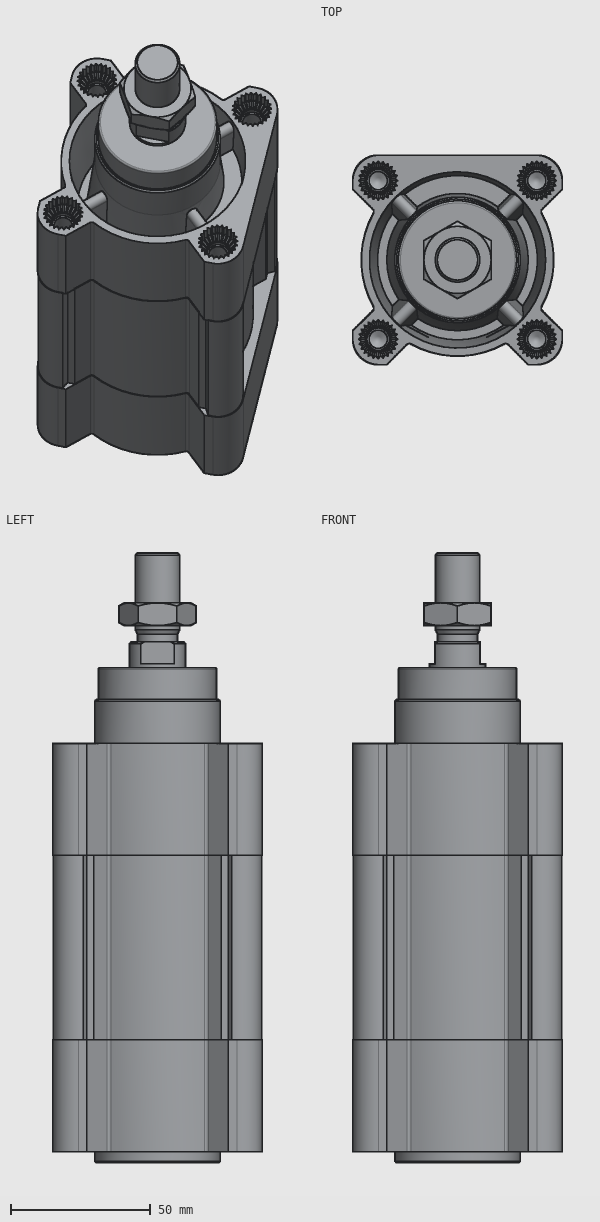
import cadquery as cq
import math

total_height = 218.0
foot_height = 4.0
body_top = 150.0
cap_height = 40.1
neck_top = 165.8
seal_top = 177.0
shoulder_top = 186.3
lower_cap_top = foot_height + cap_height
upper_cap_bottom = body_top - cap_height

cap_width = 75.0
screw_offset = 28.4
barrel_radius = 34.5
lobe_flat_end = 25.3
tube_arc_end = 26.5
tube_step_width = 34.7
tube_inset = 0.2
notch_fillet = 1.0
half_cap = cap_width / 2
lobe_radius = half_cap - screw_offset
diagonal_gap = half_cap - lobe_flat_end
tube_diagonal_gap = diagonal_gap - tube_inset * math.sqrt(2)
lobe_root = barrel_radius / 2

collar_diameter = 45.0
collar_chamfer = 0.7
seal_diameter = 42.3
seal_fillet = 0.7

pocket_depth = 30.5
shallow_pocket_depth = 14.2
pocket_diameter = 63.0
pocket_floor_diameter = 57.1
hub_floor_diameter = 50.5
rib_drop = 2.0
rib_radius = 2.2
rib_floor_half_width = 4.8

socket_teeth = 24
socket_diameter = 14.0
socket_tooth_root_diameter = 12.0
socket_depth = 4.8
socket_taper_depth = 2.2
screw_thread_diameter = 8.0
screw_thread_depth = 8.7
screw_core_diameter = 6.5
screw_core_depth = 17.5

rod_diameter = 20.0
rod_flat_width = 16.1
rod_flat_bottom = 178.5
thread_diameter = 16.0
thread_undercut_diameter = 14.5
undercut_top = 189.0
thread_lead_height = 1.5
rod_chamfer = 0.7
thread_chamfer = (thread_diameter - thread_undercut_diameter) / 2

nut_width = 24.0
nut_bottom = 192.1
nut_height = 8.0
nut_chamfer_angle = 30.0
nut_corner_diameter = nut_width / math.cos(math.radians(30))


def cylinder(diameter, bottom, top):
    return cq.Workplane("XY").workplane(offset=bottom).circle(diameter / 2).extrude(top - bottom)


def revolve_profile(points):
    """Turn a closed (radius, height) profile about the Z axis."""
    return cq.Workplane("XZ").polyline(points).close().revolve(360, (0, 0), (0, 1))


def extrude_lobe(outline, bottom, top, quarter_turns):
    lobe = outline.close().extrude(top - bottom)
    return lobe.rotate((0, 0, 0), (0, 0, 1), 90 * quarter_turns).translate((0, 0, bottom))


def lobe_arc_middle(radius):
    reach = screw_offset + radius / math.sqrt(2)
    return (reach, reach)


def cap_lobe(bottom, top, quarter_turns):
    """Screw lobe of an end cap, round outside and with straight diagonal sides."""
    outline = (
        cq.Workplane("XY")
        .moveTo(lobe_root, lobe_root - diagonal_gap)
        .lineTo(half_cap, lobe_flat_end)
        .lineTo(half_cap, screw_offset)
        .threePointArc(lobe_arc_middle(lobe_radius), (screw_offset, half_cap))
        .lineTo(lobe_flat_end, half_cap)
        .lineTo(lobe_root - diagonal_gap, lobe_root)
        .lineTo(0, 0)
    )
    return extrude_lobe(outline, bottom, top, quarter_turns)


def tube_lobe(bottom, top, quarter_turns):
    """Screw lobe of the tube, like that of a cap but stepped back beside the round."""
    arc_radius = lobe_radius - tube_inset
    arc_reach = screw_offset + math.sqrt(arc_radius**2 - (screw_offset - tube_arc_end) ** 2)
    step_corner = tube_step_width - tube_diagonal_gap
    outline = (
        cq.Workplane("XY")
        .moveTo(lobe_root, lobe_root - tube_diagonal_gap)
        .lineTo(tube_step_width, step_corner)
        .lineTo(tube_step_width, lobe_flat_end)
        .lineTo(arc_reach, tube_arc_end)
        .threePointArc(lobe_arc_middle(arc_radius), (tube_arc_end, arc_reach))
        .lineTo(lobe_flat_end, tube_step_width)
        .lineTo(step_corner, tube_step_width)
        .lineTo(lobe_root - tube_diagonal_gap, lobe_root)
        .lineTo(0, 0)
    )
    return extrude_lobe(outline, bottom, top, quarter_turns)


def lobed_section(lobe, radius, gap, bottom, top):
    """Barrel with four lobes; the inner corners of the notches are filleted."""
    section = cylinder(2 * radius, bottom, top)
    for quarter_turns in range(4):
        section = section.union(lobe(bottom, top, quarter_turns))
    near = (math.sqrt(2 * radius**2 - gap**2) - gap) / 2
    far = near + gap
    middle = (bottom + top) / 2
    for x, y in [(near, far), (far, near)]:
        for side_x in (-1, 1):
            for side_y in (-1, 1):
                corner = cq.selectors.NearestToPointSelector((side_x * x, side_y * y, middle))
                section = section.edges("|Z").edges(corner).fillet(notch_fillet)
    return section


def end_cap(bottom, top):
    """Lobed end cap whose +Y side is filled out to a flat face."""
    cap = lobed_section(cap_lobe, barrel_radius, diagonal_gap, bottom, top)
    flat_side = (
        cq.Workplane("XY")
        .workplane(offset=bottom)
        .moveTo(0, 0)
        .lineTo(screw_offset, screw_offset)
        .lineTo(screw_offset, half_cap)
        .lineTo(-screw_offset, half_cap)
        .lineTo(-screw_offset, screw_offset)
        .close()
        .extrude(top - bottom)
    )
    return cap.union(flat_side)


def make_tube():
    radius = barrel_radius - tube_inset
    return lobed_section(tube_lobe, radius, tube_diagonal_gap, lower_cap_top, upper_cap_bottom)


def ring_pocket():
    """Drafted ring pocket around the neck, interrupted by four round-crested ribs."""
    floor = body_top - pocket_depth
    pocket = revolve_profile([
        (collar_diameter / 2, body_top),
        (pocket_diameter / 2, body_top),
        (pocket_floor_diameter / 2, floor),
        (hub_floor_diameter / 2, floor),
    ])
    crest = body_top - rib_drop
    rib = (
        cq.Workplane("XZ")
        .moveTo(-rib_floor_half_width, floor)
        .lineTo(-rib_radius, crest - rib_radius)
        .threePointArc((0, crest), (rib_radius, crest - rib_radius))
        .lineTo(rib_floor_half_width, floor)
        .close()
        .extrude(pocket_diameter, both=True)
    )
    for angle in (45, 135):
        pocket = pocket.cut(rib.rotate((0, 0, 0), (0, 0, 1), angle))
    raised_floor = (
        cq.Workplane("XY")
        .workplane(offset=floor)
        .polyline([(0, 0), (half_cap, half_cap), (-half_cap, half_cap)])
        .close()
        .extrude(pocket_depth - shallow_pocket_depth)
    )
    return pocket.cut(raised_floor)


def star_points(root_diameter):
    """Corners of the toothed outline; all sizes scale with the root diameter."""
    points = []
    for index in range(2 * socket_teeth):
        tip_ratio = 1 if index % 2 else socket_diameter / socket_tooth_root_diameter
        radius = root_diameter / 2 * tip_ratio
        angle = math.pi * index / socket_teeth
        points.append((radius * math.cos(angle), radius * math.sin(angle)))
    return points


def screw_socket():
    """Toothed socket tapering to a stepped, pointed hole below; its mouth lies at Z = 0."""
    mouth = star_points(socket_tooth_root_diameter)
    teeth = cq.Workplane("XY").polyline(mouth).close().extrude(-socket_depth)
    taper = (
        cq.Workplane("XY")
        .workplane(offset=-socket_depth)
        .polyline(mouth)
        .close()
        .workplane(offset=-socket_taper_depth)
        .polyline(star_points(screw_thread_diameter))
        .close()
        .loft(ruled=True)
    )
    core_radius = screw_core_diameter / 2
    hole = revolve_profile([
        (0, 0),
        (screw_thread_diameter / 2, 0),
        (screw_thread_diameter / 2, -screw_thread_depth),
        (core_radius, -screw_thread_depth),
        (core_radius, -screw_core_depth),
        (0, -screw_core_depth - core_radius / 2),
    ])
    return teeth.union(taper).union(hole)


def make_housing():
    foot = cylinder(collar_diameter, 0, foot_height).faces("<Z").chamfer(collar_chamfer)
    seal = cylinder(seal_diameter, neck_top, seal_top).faces(">Z").edges().fillet(seal_fillet)
    neck = cylinder(collar_diameter, body_top, neck_top).faces(">Z").chamfer(collar_chamfer)
    housing = (
        make_tube()
        .union(end_cap(foot_height, lower_cap_top))
        .union(end_cap(upper_cap_bottom, body_top))
        .union(foot)
        .cut(ring_pocket())
        .union(neck)
        .union(seal)
        .cut(cylinder(rod_diameter, upper_cap_bottom, seal_top))
    )
    for x in (-screw_offset, screw_offset):
        for y in (-screw_offset, screw_offset):
            housing = housing.cut(screw_socket().translate((x, y, body_top)))
    return housing


def make_rod():
    rod_radius = rod_diameter / 2
    thread_radius = thread_diameter / 2
    undercut_radius = thread_undercut_diameter / 2
    rod = revolve_profile([
        (0, upper_cap_bottom),
        (rod_radius, upper_cap_bottom),
        (rod_radius, shoulder_top - rod_chamfer),
        (rod_radius - rod_chamfer, shoulder_top),
        (undercut_radius, shoulder_top),
        (undercut_radius, undercut_top),
        (thread_radius, undercut_top + thread_lead_height),
        (thread_radius, total_height - thread_chamfer),
        (undercut_radius, total_height),
        (0, total_height),
    ])
    for side in (-1, 1):
        flat = (
            cq.Workplane("XY")
            .workplane(offset=rod_flat_bottom)
            .center(side * (rod_flat_width + rod_diameter) / 2, 0)
            .rect(rod_diameter, rod_diameter)
            .extrude(shoulder_top - rod_flat_bottom)
        )
        rod = rod.cut(flat)
    return rod


def make_nut():
    nut_top = nut_bottom + nut_height
    corner_radius = nut_corner_diameter / 2
    flat_radius = nut_width / 2
    chamfer_height = (corner_radius - flat_radius) * math.tan(math.radians(nut_chamfer_angle))
    hexagon = (
        cq.Workplane("XY")
        .workplane(offset=nut_bottom)
        .polygon(6, nut_corner_diameter)
        .extrude(nut_height)
        .rotate((0, 0, 0), (0, 0, 1), 90)
    )
    turned_blank = revolve_profile([
        (0, nut_bottom),
        (flat_radius, nut_bottom),
        (corner_radius, nut_bottom + chamfer_height),
        (corner_radius, nut_top - chamfer_height),
        (flat_radius, nut_top),
        (0, nut_top),
    ])
    return hexagon.intersect(turned_blank).cut(cylinder(thread_diameter, nut_bottom, nut_top))


housing = make_housing()
rod = make_rod()
nut = make_nut()

result = cq.Compound.makeCompound([housing.val(), rod.val(), nut.val()])